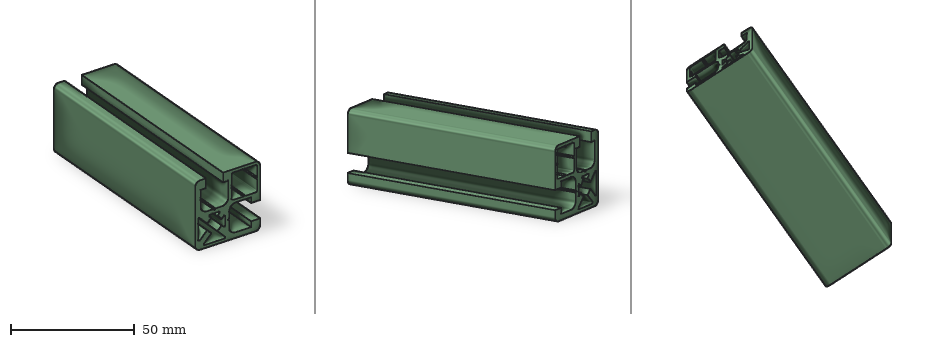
import cadquery as cq
import math

length = 100.0
side = 32.0
outer_radius = 2.5
half = side / 2

slot_offset = 9.5
slot_mouth = 8.4
slot_width = 13.7
lip_depth = 4.5
slot_depth = 15.3
slot_fillet = 3.3

wall = 1.5
box_size = 12.6
box_fillet = 1.0

groove_half_width = 0.5
groove_depth = 0.6

bore_radius = 3.6
pocket_apex = 2.1
inner_pocket_reach = 5.2
inner_pocket_fillet = 0.4
outer_pocket_reach = slot_offset - wall
outer_pocket_fillet = 0.5

core = slot_offset - half
box_centre = half - wall - box_size / 2
slot_floor = half - slot_depth
start_x = -length / 2


def section_plane():
    return cq.Workplane("YZ", origin=(start_x, 0, 0))


def bar(width, height, y, z):
    """Full-length rectangular bar centred at (y, z) in the section."""
    return section_plane().center(y, z).rect(width, height).extrude(length)


def prism(points):
    """Full-length bar with a polygonal section."""
    return section_plane().polyline(points).close().extrude(length)


def turned(body, angle, y, z):
    """Turn a bar about a lengthwise axis through (y, z)."""
    return body.rotate((0, y, z), (1, y, z), angle)


def top_slot():
    """Space of the +Z slot, including the groove in its floor."""
    mouth = bar(slot_mouth, lip_depth, core, half - lip_depth / 2)
    chamber_height = slot_depth - lip_depth
    chamber = bar(slot_width, chamber_height, core, slot_floor + chamber_height / 2)
    chamber = chamber.edges("|X and <Z").fillet(slot_fillet)
    groove = prism([
        (core - groove_half_width, slot_floor),
        (core + groove_half_width, slot_floor),
        (core, slot_floor - groove_depth),
    ])
    return mouth.union(chamber).union(groove)


def box_chamber():
    """Space of the closed chamber, with a small ridge inside each wall."""
    space = bar(box_size, box_size, box_centre, box_centre)
    space = space.edges("|X").fillet(box_fillet)
    floor = box_centre - box_size / 2
    ridge = prism([
        (box_centre - groove_half_width, floor),
        (box_centre + groove_half_width, floor),
        (box_centre, floor + groove_depth),
    ])
    for angle in (0, 90, 180, 270):
        space = space.cut(turned(ridge, angle, box_centre, box_centre))
    return space


def core_pocket(reach, fillet, angle):
    """Triangular pocket beside the bore; at angle 0 it points down."""
    half_base = reach - pocket_apex
    pocket = prism([
        (core, core - pocket_apex),
        (core - half_base, core - reach),
        (core + half_base, core - reach),
    ])
    pocket = pocket.edges("|X and (<Y or >Y)").fillet(fillet)
    return turned(pocket, angle, core, core)


def flat_spoke_tip():
    """Space that squares off the end of the spoke between the two outer pockets."""
    spoke_width = math.sqrt(2) * pocket_apex
    tip = bar(spoke_width, bore_radius, core, core - bore_radius / 2)
    return turned(tip, -45, core, core)


profile = bar(side, side, 0, 0).edges("|X").fillet(outer_radius)

slot = top_slot()
profile = profile.cut(slot).cut(turned(slot, -90, core, core))

profile = profile.cut(box_chamber())

bore = section_plane().center(core, core).circle(bore_radius).extrude(length)
profile = profile.cut(bore).cut(flat_spoke_tip())
for angle in (0, 270):
    profile = profile.cut(core_pocket(outer_pocket_reach, outer_pocket_fillet, angle))
for angle in (90, 180):
    profile = profile.cut(core_pocket(inner_pocket_reach, inner_pocket_fillet, angle))

result = profile